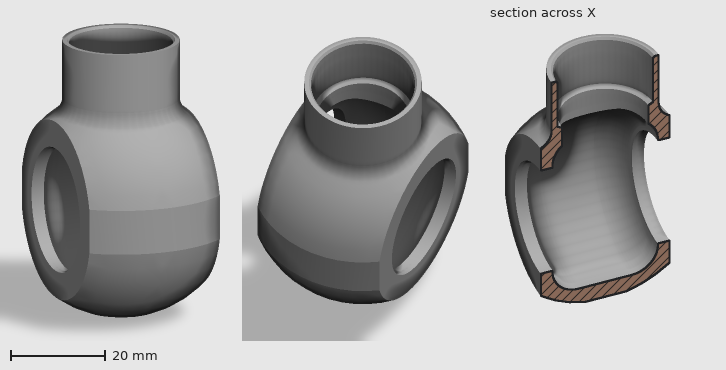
import cadquery as cq
import math

body_width = 48.0
body_thickness = 30.0
ball_radius = 24.5
belt_radius = body_width / 2

neck_top = 36.0
neck_radius = 25.0 / 2
neck_fillet = 4.0

socket_radius = 22.15 / 2
socket_depth = 12.0
socket_floor_drop = 0.6
port_radius = 20.0 / 2
mouth_chamfer_width = 0.4
mouth_chamfer_depth = 0.55

bore_radius = 27.0 / 2
chamber_radius = 20.0
chamber_half_width = 12.2
chamber_fillet = 6.0


def make_ball():
    """Ball trimmed by a cylindrical belt, a flat base and two flat faces."""
    ball = cq.Workplane("XY").sphere(ball_radius)
    belt = cq.Workplane("XY").circle(belt_radius).extrude(belt_radius, both=True)
    slab = cq.Workplane("XY").box(body_width, body_thickness, body_width)
    return ball.intersect(belt).intersect(slab)


def make_neck():
    """Revolved neck whose concave root fillet is tangent to the ball."""
    arc_x = neck_radius + neck_fillet
    arc_z = math.sqrt((ball_radius + neck_fillet) ** 2 - arc_x**2)
    contact_ratio = ball_radius / (ball_radius + neck_fillet)
    contact_x = arc_x * contact_ratio
    contact_z = arc_z * contact_ratio
    mid_angle = (math.pi + math.atan2(arc_z, arc_x) + math.pi) / 2
    mid_x = arc_x + neck_fillet * math.cos(mid_angle)
    mid_z = arc_z + neck_fillet * math.sin(mid_angle)
    return (
        cq.Workplane("XZ")
        .lineTo(contact_x, contact_z)
        .threePointArc((mid_x, mid_z), (neck_radius, arc_z))
        .lineTo(neck_radius, neck_top)
        .lineTo(0, neck_top)
        .close()
        .revolve(360, (0, 0, 0), (0, 1, 0))
    )


def make_neck_bore():
    """Socket with a chamfered mouth and a conical floor down to a narrower port into the chamber."""
    socket_floor = neck_top - socket_depth
    return (
        cq.Workplane("XZ")
        .lineTo(port_radius, 0)
        .lineTo(port_radius, socket_floor - socket_floor_drop)
        .lineTo(socket_radius, socket_floor)
        .lineTo(socket_radius, neck_top - mouth_chamfer_depth)
        .lineTo(socket_radius + mouth_chamfer_width, neck_top)
        .lineTo(0, neck_top)
        .close()
        .revolve(360, (0, 0, 0), (0, 1, 0))
    )


def make_main_bore():
    """Through bore widened between its two end lips by a rounded chamber."""
    bore = cq.Workplane("XZ").circle(bore_radius).extrude(body_thickness / 2, both=True)
    chamber = (
        cq.Workplane("XZ")
        .circle(chamber_radius)
        .extrude(chamber_half_width, both=True)
        .edges("%CIRCLE and (<Y or >Y)")
        .fillet(chamber_fillet)
    )
    return bore.union(chamber)


result = make_ball().union(make_neck()).cut(make_main_bore()).cut(make_neck_bore())